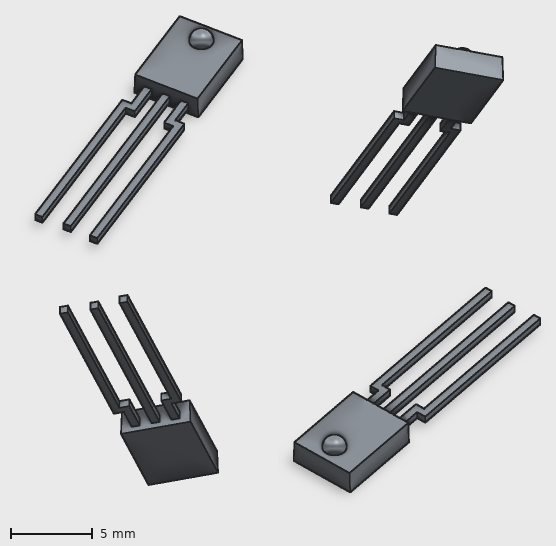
import cadquery as cq

overall_length = 18.54

body_width = 4.45
body_top_width = 4.335
body_length = 5.715
body_height = 1.605

lens_radius = 0.755
lens_edge_distance = 1.22

lead_size = 0.51
lead_bottom = 0.38
lead_pitch = 1.27
lead_spread_pitch = 1.905
jog_distance = 1.65
outer_lead_length = overall_length - body_length
center_lead_length = 12.7


def make_body():
    """Block whose two long sides lean inward toward the top."""
    half_bottom = body_width / 2
    half_top = body_top_width / 2
    return (
        cq.Workplane("XZ")
        .polyline([
            (-half_bottom, 0),
            (half_bottom, 0),
            (half_top, body_height),
            (-half_top, body_height),
        ])
        .close()
        .extrude(-body_length)
    )


def make_lens():
    """Sphere centred on the top face; its lower half merges into the body."""
    lens_y = body_length - lens_edge_distance
    return cq.Workplane("XY").sphere(lens_radius).translate((0, lens_y, body_height))


def make_center_lead():
    """Straight lead on the centre line."""
    return (
        cq.Workplane("XY", origin=(-lead_size / 2, -center_lead_length, lead_bottom))
        .box(lead_size, center_lead_length, lead_size, centered=False)
    )


def make_outer_lead(side):
    """Lead that jogs outward; side is +1 for +X and -1 for -X."""
    half = lead_size / 2
    near_inner = side * (lead_pitch - half)
    near_outer = side * (lead_pitch + half)
    far_inner = side * (lead_spread_pitch - half)
    far_outer = side * (lead_spread_pitch + half)
    jog_start = -jog_distance
    jog_end = jog_start - lead_size
    return (
        cq.Workplane("XY", origin=(0, 0, lead_bottom))
        .polyline([
            (near_inner, 0),
            (near_outer, 0),
            (near_outer, jog_start),
            (far_outer, jog_start),
            (far_outer, -outer_lead_length),
            (far_inner, -outer_lead_length),
            (far_inner, jog_end),
            (near_inner, jog_end),
        ])
        .close()
        .extrude(lead_size)
    )


result = make_body().union(make_lens()).union(make_center_lead())
for side in (-1, 1):
    result = result.union(make_outer_lead(side))